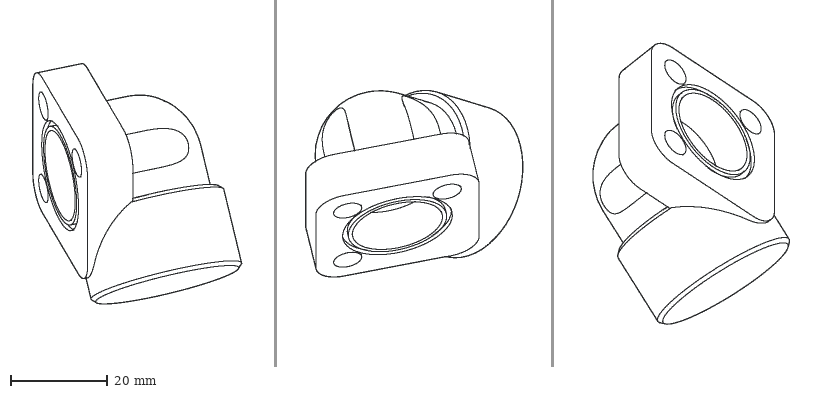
import cadquery as cq
import math

flange_width = 34.8
flange_thickness = 10.0
flange_corner_radius = 6.0

bolt_circle_radius = 15.0
screw_hole_diameter = 6.0
screw_head_clearance_radius = 4.5
bolt_offset = bolt_circle_radius / math.sqrt(2)
bolt_positions = [
    (-bolt_offset, bolt_offset),
    (bolt_offset, bolt_offset),
    (-bolt_offset, -bolt_offset),
]

body_radius = 13.6
bend_height = 17.0

collar_radius = 16.15
collar_start = 9.45
collar_end = 26.95
collar_chamfer = 0.8

bore_radius = 9.6
bore_depth = 9.0
seal_groove_inner_radius = 10.5
seal_groove_outer_radius = 11.7
seal_groove_depth = 1.0

bend_centre = cq.Vector(0, bend_height, 0)
outlet_angle = 45.0
outlet_direction = cq.Vector(
    math.cos(math.radians(outlet_angle)), 0, -math.sin(math.radians(outlet_angle))
)
into_part = cq.Vector(0, 1, 0)


def cylinder_along_y(radius, length, start_y=0.0, x=0.0, z=0.0):
    """Solid cylinder that starts at (x, start_y, z) and runs toward +Y."""
    solid = cq.Solid.makeCylinder(radius, length, cq.Vector(x, start_y, z), into_part)
    return cq.Workplane(obj=solid)


def outlet_cylinder(radius, start, end):
    """Solid cylinder on the outlet axis between two distances from the bend centre."""
    base = bend_centre + outlet_direction * start
    solid = cq.Solid.makeCylinder(radius, end - start, base, outlet_direction)
    return cq.Workplane(obj=solid)


def make_flange():
    plate = cq.Workplane("XY").box(
        flange_width, flange_thickness, flange_width, centered=(True, False, True)
    )
    return plate.edges("|Y").fillet(flange_corner_radius)


def make_outlet_skirt():
    """Straight-sided block that carries the outlet tube down to the flange back."""
    skirt_height = bend_height - flange_thickness
    skirt = cq.Workplane("XY").box(
        collar_start, skirt_height, 2 * body_radius, centered=(False, False, True)
    )
    turned = skirt.rotate((0, 0, 0), (0, 1, 0), outlet_angle)
    return turned.translate((0, flange_thickness, 0))


def make_elbow_body():
    neck = cylinder_along_y(body_radius, bend_height)
    ball = cq.Workplane("XY").sphere(body_radius).translate(bend_centre)
    tube = outlet_cylinder(body_radius, 0, collar_end)
    return neck.union(ball).union(tube).union(make_outlet_skirt())


def make_collar():
    collar = outlet_cylinder(collar_radius, collar_start, collar_end)
    return collar.edges("%CIRCLE").chamfer(collar_chamfer)


def cut_screw_head_clearances(body):
    """Scallop the body behind the flange so the screw heads can reach it."""
    clearance_length = bend_height + body_radius - flange_thickness
    for x, z in bolt_positions:
        clearance = cylinder_along_y(
            screw_head_clearance_radius, clearance_length, flange_thickness, x, z
        )
        body = body.cut(clearance)
    return body


def cut_screw_holes(part):
    for x, z in bolt_positions:
        part = part.cut(cylinder_along_y(screw_hole_diameter / 2, flange_thickness, 0, x, z))
    return part


def cut_bore_and_seal_groove(part):
    groove = cylinder_along_y(seal_groove_outer_radius, seal_groove_depth)
    groove_core = cylinder_along_y(seal_groove_inner_radius, seal_groove_depth)
    bore = cylinder_along_y(bore_radius, bore_depth)
    return part.cut(groove.cut(groove_core)).cut(bore)


elbow = cut_screw_head_clearances(make_elbow_body())
part = make_flange().union(elbow).union(make_collar())
part = cut_screw_holes(part)
result = cut_bore_and_seal_groove(part)